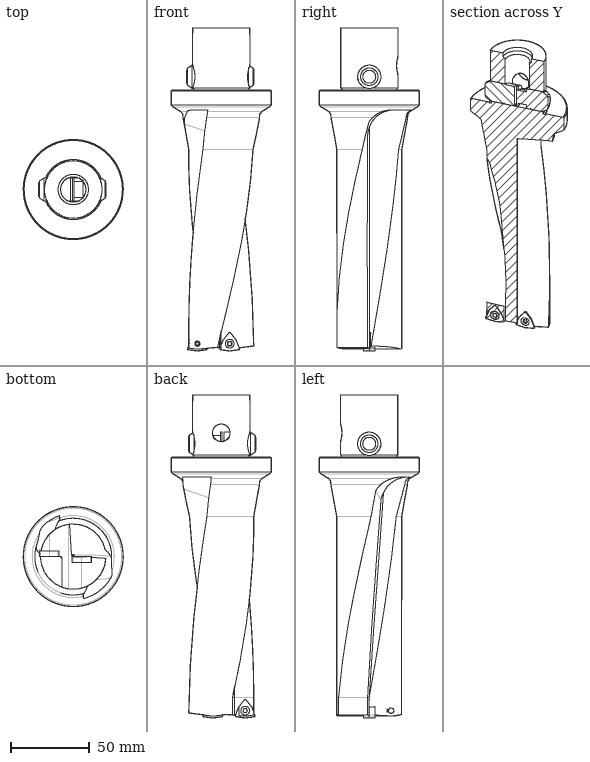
import cadquery as cq
import math

TOTAL_TOP = 205.0
SHANK_RADIUS = 18.2
NECK_RADIUS = 17.6
NECK_TOP = 166.9
GROOVE_RADIUS = 19.0
GROOVE_DEPTH = 0.6
FLANGE_RADIUS = 31.8
FLANGE_TOP = 165.6
FLANGE_BOTTOM = 156.0
FLANGE_TOP_CHAMFER = 0.6
FLANGE_BOTTOM_CHAMFER = 1.0
CONE_FOOT_RADIUS = 26.0
CONE_FOOT_HEIGHT = 152.1
HOLLOW_RADIUS = 24.8
HOLLOW_HEIGHT = 150.7
TAPER_TOP_RADIUS = 24.4
TAPER_TOP = 148.2
TAPER_BOTTOM = 128.0
DRILL_RADIUS = 20.7
NOSE_TIP_HEIGHT = 1.2
NOSE_TRIM_MARGIN = 2.0
NOSE_VALLEY_X = -3.0
NOSE_VALLEY_HEIGHT = 2.3
NOSE_EDGE_RISE = 0.13

BORE_RADIUS = 8.0
COUNTERBORE_RADIUS = 9.6
COUNTERBORE_DEPTH = 2.7
COUNTERBORE_CONE = 1.6
CLAMP_HEIGHT = 174.0
CLAMP_RADIUS = 7.4
LOCATING_HOLE_RADIUS = 5.5
LOCATING_HOLE_HEIGHT = 181.0

PIN_TIP_RADIUS = 5.5
PIN_END_FACE_RADIUS = 4.0
PIN_END_CHAMFER = 0.6
LEFT_PIN_INNER_END = 1.6
LEFT_PIN_CONE_START = 18.5
LEFT_PIN_TIP = 22.0
RIGHT_PIN_INNER_END = -0.6
RIGHT_PIN_COLLAR_END = 0.6
RIGHT_PIN_WAIST_END = 6.2
RIGHT_PIN_WAIST_RADIUS = 5.1
RIGHT_PIN_CONE_START = 17.5
RIGHT_PIN_TIP = 21.0

WALL_TWIST = 0.4878
FLUTE_REACH = 30.8
ROOT_FLAT = 1.0
RUNOUT_START = 136.3
RUNOUT_RADIUS = 16.6
RUNOUT_SQUARE_TO = 136.0
FLUTE_SECTIONS = 7
FLUTE_FOOT = -2.0
POCKET_TOP = 13.1
INNER_FLUTE = {
    "wall": 1.5,
    "floor": -98.0,
    "floor_twist": 0.6683,
    "root_angle": 181.5,
    "root_twist": 0.4878,
    "root_radius": 1.0,
    "root_growth": 0.0,
    "straight_below": FLUTE_FOOT,
}
OUTER_FLUTE = {
    "wall": 173.5,
    "floor": 102.2,
    "floor_twist": 0.6341,
    "root_angle": 175.0,
    "root_twist": 0.3902,
    "root_radius": 7.0,
    "root_growth": 0.024,
    "straight_below": POCKET_TOP,
}

INSERT_CORNER_RADIUS = 7.5
INSERT_MIDDLE_RADIUS = 4.7
INSERT_CORNER_FILLET = 0.8
INSERT_CORNERS = 3
CORNER_PITCH = 360 / INSERT_CORNERS
TOP_CORNER_ANGLE = 90
FIRST_MIDDLE_ANGLE = TOP_CORNER_ANGLE + CORNER_PITCH / 2
INSERT_THICKNESS = 3.7
INNER_INSERT_X = 5.3
OUTER_INSERT_X = 15.2
SCREW_HEAD_RADIUS = 2.77
SCREW_HEAD_DEPTH = 1.6
SCREW_RADIUS = 1.6
SCREW_END_CHAMFER = 0.6
SCREW_LENGTH = 11.9
SOCKET_SIDES = 6
SOCKET_DIAMETER = 2.9
SOCKET_DEPTH = 1.0


def point_at(radius, degrees):
    angle = math.radians(degrees)
    return cq.Vector(radius * math.cos(angle), radius * math.sin(angle), 0)


def flute_root(flute, height):
    return point_at(
        flute["root_radius"] + flute["root_growth"] * height,
        flute["root_angle"] + flute["root_twist"] * height,
    )


def flute_directions(flute, height):
    """Unit vectors from the root along the wall and along the floor."""
    root = flute_root(flute, height)
    wall_end = point_at(DRILL_RADIUS, flute["wall"] + WALL_TWIST * height)
    floor_end = point_at(DRILL_RADIUS, flute["floor"] + flute["floor_twist"] * height)
    return (wall_end - root).normalized(), (floor_end - root).normalized()


def flute_section(flute, z):
    """Closed wedge outline at height z: a wall and a floor that meet at a small flat root."""
    twist_height = max(z, flute["straight_below"])
    root = flute_root(flute, twist_height) + cq.Vector(0, 0, z)
    wall, floor = flute_directions(flute, twist_height)
    outline = [
        root + wall * ROOT_FLAT,
        root + wall * FLUTE_REACH,
        root + (wall + floor) * FLUTE_REACH,
        root + floor * FLUTE_REACH,
        root + floor * ROOT_FLAT,
    ]
    return cq.Wire.makePolygon(outline, close=True)


def flute_loft(flute, bottom, top, count):
    heights = [bottom + (top - bottom) * i / (count - 1) for i in range(count)]
    return cq.Workplane(cq.Solid.makeLoft([flute_section(flute, z) for z in heights]))


def runout_fill(flute):
    """Block that stays at the top of the flute, so that its floor curves outward to a level end."""
    root = flute_root(flute, RUNOUT_SQUARE_TO) + cq.Vector(0, 0, RUNOUT_START)
    wall, floor = flute_directions(flute, RUNOUT_SQUARE_TO)
    outward = (wall - floor * wall.dot(floor)).normalized()
    plane = cq.Plane(origin=root, xDir=outward, normal=outward.cross(cq.Vector(0, 0, 1)))
    bend = RUNOUT_RADIUS * math.sqrt(0.5)
    return (
        cq.Workplane(plane)
        .moveTo(-DRILL_RADIUS, 0)
        .lineTo(0, 0)
        .threePointArc((RUNOUT_RADIUS - bend, bend), (RUNOUT_RADIUS, RUNOUT_RADIUS))
        .lineTo(-DRILL_RADIUS, RUNOUT_RADIUS)
        .close()
        .extrude(2 * FLUTE_REACH, both=True)
    )


def flute_cutters(flute):
    straight_top = flute["straight_below"]
    runout_top = RUNOUT_START + RUNOUT_RADIUS
    twisted = flute_loft(flute, straight_top, runout_top, FLUTE_SECTIONS)
    cutters = [twisted.cut(runout_fill(flute))]
    if straight_top > FLUTE_FOOT:
        cutters.append(flute_loft(flute, FLUTE_FOOT, straight_top, 2))
    return cutters


def in_insert_place(shape, inner):
    """Move a shape modelled facing -Y at the origin into the inner or the outer insert seat."""
    if inner:
        return shape.translate((INNER_INSERT_X, 0, INSERT_MIDDLE_RADIUS))
    turned = shape.rotate((0, 0, 0), (0, 0, 1), 180)
    return turned.translate((-OUTER_INSERT_X, 0, INSERT_MIDDLE_RADIUS))


def insert_blank():
    """Trigon plate: three corners with a blunt vertex between each pair."""
    outline = []
    for corner in range(INSERT_CORNERS):
        turn = CORNER_PITCH * corner
        outline.append(point_at(INSERT_CORNER_RADIUS, TOP_CORNER_ANGLE + turn).toTuple()[:2])
        outline.append(point_at(INSERT_MIDDLE_RADIUS, FIRST_MIDDLE_ANGLE + turn).toTuple()[:2])
    plate = cq.Workplane("XZ").polyline(outline).close().extrude(-INSERT_THICKNESS)
    between = (INSERT_CORNER_RADIUS + INSERT_MIDDLE_RADIUS) / 2
    corner_edges = plate.edges("|Y").filter(
        lambda edge: math.hypot(edge.Center().x, edge.Center().z) > between
    )
    return corner_edges.fillet(INSERT_CORNER_FILLET)


def screw_blank():
    """Countersunk screw along Y with its head flush with y = 0."""
    return (
        cq.Workplane("XY")
        .polyline([
            (0, 0),
            (SCREW_HEAD_RADIUS, 0),
            (SCREW_RADIUS, SCREW_HEAD_DEPTH),
            (SCREW_RADIUS, SCREW_LENGTH - SCREW_END_CHAMFER),
            (SCREW_RADIUS - SCREW_END_CHAMFER, SCREW_LENGTH),
            (0, SCREW_LENGTH),
        ])
        .close()
        .revolve(360, (0, 0), (0, 1))
    )


def make_insert(inner):
    return in_insert_place(insert_blank().cut(screw_blank()), inner)


def make_screw(inner):
    socket = cq.Workplane("XZ").polygon(SOCKET_SIDES, SOCKET_DIAMETER).extrude(-SOCKET_DEPTH)
    return in_insert_place(screw_blank().cut(socket), inner)


def turned_pin(side, profile):
    """Pin about the clamp axis from (distance from the tool axis, radius) points; side is -1 or +1."""
    points = [(side * distance, CLAMP_HEIGHT + radius) for distance, radius in profile]
    axis_start = (0, CLAMP_HEIGHT)
    axis_end = (1, CLAMP_HEIGHT)
    return cq.Workplane("XZ").polyline(points).close().revolve(360, axis_start, axis_end)


def pin_head(cone_start, tip):
    return [
        (cone_start, CLAMP_RADIUS),
        (tip - PIN_END_CHAMFER, PIN_TIP_RADIUS),
        (tip, PIN_END_FACE_RADIUS),
        (tip, 0),
    ]


def make_left_pin():
    inner_end = [(LEFT_PIN_INNER_END, 0), (LEFT_PIN_INNER_END, CLAMP_RADIUS)]
    return turned_pin(-1, inner_end + pin_head(LEFT_PIN_CONE_START, LEFT_PIN_TIP))


def make_right_pin():
    collar_and_waist = [
        (RIGHT_PIN_INNER_END, 0),
        (RIGHT_PIN_INNER_END, CLAMP_RADIUS),
        (RIGHT_PIN_COLLAR_END, CLAMP_RADIUS),
        (RIGHT_PIN_COLLAR_END, RIGHT_PIN_WAIST_RADIUS),
        (RIGHT_PIN_WAIST_END, RIGHT_PIN_WAIST_RADIUS),
        (RIGHT_PIN_WAIST_END, CLAMP_RADIUS),
    ]
    return turned_pin(1, collar_and_waist + pin_head(RIGHT_PIN_CONE_START, RIGHT_PIN_TIP))


def turned_body():
    """Shank, flange, tapered neck and drill cylinder, with the profile drawn on the -Y side."""
    def on_minus_y(radius, z):
        return (-radius, z)

    above_hollow = [
        (FLANGE_RADIUS - FLANGE_BOTTOM_CHAMFER, FLANGE_BOTTOM - FLANGE_BOTTOM_CHAMFER),
        (FLANGE_RADIUS, FLANGE_BOTTOM),
        (FLANGE_RADIUS, FLANGE_TOP - FLANGE_TOP_CHAMFER),
        (FLANGE_RADIUS - FLANGE_TOP_CHAMFER, FLANGE_TOP),
        (GROOVE_RADIUS, FLANGE_TOP),
        (GROOVE_RADIUS, FLANGE_TOP - GROOVE_DEPTH),
        (NECK_RADIUS, FLANGE_TOP - GROOVE_DEPTH),
        (NECK_RADIUS, NECK_TOP),
        (SHANK_RADIUS, NECK_TOP),
        (SHANK_RADIUS, TOTAL_TOP),
        (0, TOTAL_TOP),
    ]
    outline = (
        cq.Workplane("YZ")
        .lineTo(*on_minus_y(DRILL_RADIUS, 0))
        .lineTo(*on_minus_y(DRILL_RADIUS, TAPER_BOTTOM))
        .lineTo(*on_minus_y(TAPER_TOP_RADIUS, TAPER_TOP))
        .threePointArc(
            on_minus_y(HOLLOW_RADIUS, HOLLOW_HEIGHT),
            on_minus_y(CONE_FOOT_RADIUS, CONE_FOOT_HEIGHT),
        )
    )
    for radius, z in above_hollow:
        outline = outline.lineTo(*on_minus_y(radius, z))
    return outline.close().revolve(360, (0, 0), (0, 1))


def shank_bore():
    """Bore from the top down to the clamp axis, with a counterbore that narrows through a cone."""
    profile = [
        (0, CLAMP_HEIGHT),
        (BORE_RADIUS, CLAMP_HEIGHT),
        (BORE_RADIUS, TOTAL_TOP - COUNTERBORE_DEPTH - COUNTERBORE_CONE),
        (COUNTERBORE_RADIUS, TOTAL_TOP - COUNTERBORE_DEPTH),
        (COUNTERBORE_RADIUS, TOTAL_TOP),
        (0, TOTAL_TOP),
    ]
    return cq.Workplane("XZ").polyline(profile).close().revolve(360, (0, 0), (0, 1))


def nose_trim():
    """Material below the drill nose, which has a ridge at each insert and a valley between them."""
    reach = DRILL_RADIUS + NOSE_TRIM_MARGIN
    left_height = NOSE_TIP_HEIGHT + NOSE_EDGE_RISE * (reach - OUTER_INSERT_X)
    right_height = NOSE_TIP_HEIGHT + NOSE_EDGE_RISE * (reach - INNER_INSERT_X)
    return (
        cq.Workplane("XZ")
        .polyline([
            (-reach, -NOSE_TRIM_MARGIN),
            (-reach, left_height),
            (-OUTER_INSERT_X, NOSE_TIP_HEIGHT),
            (NOSE_VALLEY_X, NOSE_VALLEY_HEIGHT),
            (INNER_INSERT_X, NOSE_TIP_HEIGHT),
            (reach, right_height),
            (reach, -NOSE_TRIM_MARGIN),
        ])
        .close()
        .extrude(reach, both=True)
    )


def outer_seat_relief():
    """Removes the thin sliver of body that would stand outside the outer insert's side edge."""
    middle = point_at(INSERT_MIDDLE_RADIUS, FIRST_MIDDLE_ANGLE)
    relief_height = INSERT_MIDDLE_RADIUS + abs(middle.y)
    relief = cq.Workplane("XY").box(DRILL_RADIUS, INSERT_THICKNESS, relief_height, centered=False)
    relief_start_x = middle.x - OUTER_INSERT_X
    return relief.translate((relief_start_x - DRILL_RADIUS, -INSERT_THICKNESS, 0))


def make_body():
    body = turned_body().cut(nose_trim()).cut(shank_bore())
    clamp_hole = cq.Workplane("YZ").center(0, CLAMP_HEIGHT).circle(CLAMP_RADIUS)
    body = body.cut(clamp_hole.extrude(SHANK_RADIUS, both=True))
    locating_hole = cq.Workplane("XZ").center(0, LOCATING_HOLE_HEIGHT).circle(LOCATING_HOLE_RADIUS)
    body = body.cut(locating_hole.extrude(-SHANK_RADIUS))
    for flute in (INNER_FLUTE, OUTER_FLUTE):
        for cutter in flute_cutters(flute):
            body = body.cut(cutter)
    for inner in (True, False):
        body = body.cut(in_insert_place(insert_blank(), inner))
    body = body.cut(outer_seat_relief())
    body = body.cut(in_insert_place(screw_blank(), True))
    through = cq.Workplane("XZ").circle(SCREW_RADIUS).extrude(-DRILL_RADIUS)
    return body.cut(in_insert_place(through, False))


body = make_body()
inserts = [make_insert(inner) for inner in (True, False)]
screws = [make_screw(inner) for inner in (True, False)]
left_pin = make_left_pin()
right_pin = make_right_pin()

result = cq.Compound.makeCompound(
    [
        body.val(),
        *[insert.val() for insert in inserts],
        *[screw.val() for screw in screws],
        left_pin.val(),
        right_pin.val(),
    ]
)